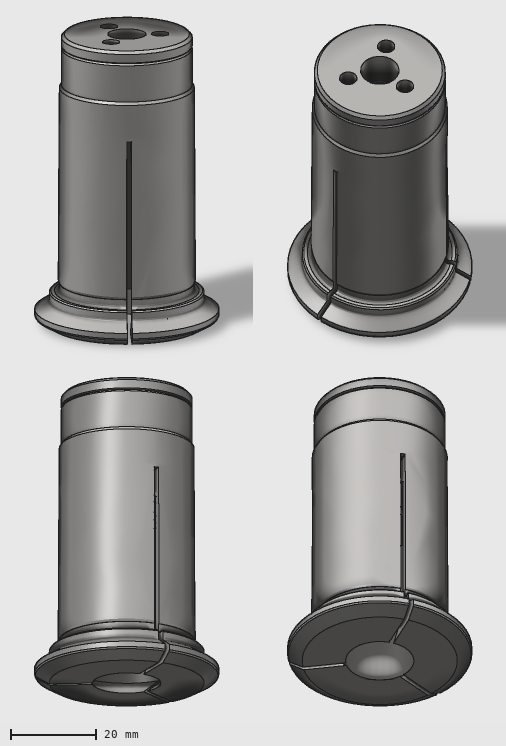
import cadquery as cq
import math

total_height = 70.0
rim_bottom_z = 1.8
rim_top_z = 3.7
collar_bottom_z = 5.6
collar_top_z = 8.0
relief_z = 10.15
body_top_z = 57.1
groove_bottom_z = 66.6
groove_root_z = 67.0
groove_top_z = 67.3

rim_radius = 43.0 / 2
bottom_face_radius = 18.05
collar_radius = 18.05
neck_radius = 15.75
body_bottom_radius = 32.0 / 2
body_top_radius = 31.5 / 2
head_radius = 30.5 / 2

rim_bevel = 0.2
rim_lower_bevel_height = 0.4
rim_upper_bevel_height = 0.15
collar_fillet = 0.6
collar_chamfer = 0.35
undercut_arc_radius = 0.8
undercut_width = 1.1
undercut_height = 0.7
relief_bevel = 0.15
relief_bevel_height = 0.55
shoulder_height = 0.7
groove_depth = 0.35
head_chamfer = 0.7

mouth_radius = 15.9 / 2
mouth_cone_height = 4.35
bore_radius = 28.5 / 2
bore_top_z = 41.65
roof_slope = math.radians(35)
end_hole_radius = 8.9 / 2
end_hole_depth = 8.4
lower_hole_radius = 8.4 / 2

pin_hole_count = 3
pin_hole_radius = 4.0 / 2
pin_circle_radius = 7.8
first_pin_angle = 30

slot_count = 3
slot_width = 1.1
slot_top_z = 48.3
first_slot_angle = 60

flank_outer_radius = rim_radius - rim_bevel
flank_slope = math.atan2(collar_bottom_z - rim_top_z, flank_outer_radius - collar_radius)
blend_length = collar_fillet * math.tan((math.pi / 2 - flank_slope) / 2)
blend_start = (
    collar_radius + blend_length * math.cos(flank_slope),
    collar_bottom_z - blend_length * math.sin(flank_slope),
)
blend_end = (collar_radius, collar_bottom_z + blend_length)


def revolve_about_axis(profile):
    return profile.close().revolve(360, (0, 0, 0), (0, 1, 0))


def outer_body():
    profile = (
        cq.Workplane("XZ")
        .lineTo(bottom_face_radius, 0)
        .lineTo(rim_radius - rim_bevel, rim_bottom_z)
        .lineTo(rim_radius, rim_bottom_z + rim_lower_bevel_height)
        .lineTo(rim_radius, rim_top_z - rim_upper_bevel_height)
        .lineTo(flank_outer_radius, rim_top_z)
        .lineTo(*blend_start)
        .radiusArc(blend_end, collar_fillet)
        .lineTo(collar_radius, collar_top_z - collar_chamfer)
        .lineTo(collar_radius - collar_chamfer, collar_top_z)
        .lineTo(neck_radius + undercut_width, collar_top_z)
        .radiusArc((neck_radius, collar_top_z + undercut_height), undercut_arc_radius)
        .lineTo(neck_radius, relief_z)
        .lineTo(body_bottom_radius - relief_bevel, relief_z)
        .lineTo(body_bottom_radius, relief_z + relief_bevel_height)
        .lineTo(body_top_radius, body_top_z)
        .lineTo(head_radius, body_top_z + shoulder_height)
        .lineTo(head_radius, groove_bottom_z)
        .lineTo(head_radius - groove_depth, groove_root_z)
        .lineTo(head_radius, groove_top_z)
        .lineTo(head_radius, total_height - head_chamfer)
        .lineTo(head_radius - head_chamfer, total_height)
        .lineTo(0, total_height)
    )
    return revolve_about_axis(profile)


def bore():
    roof_top_z = bore_top_z + (bore_radius - lower_hole_radius) * math.tan(roof_slope)
    end_hole_z = total_height - end_hole_depth
    step_height = end_hole_radius - lower_hole_radius
    profile = (
        cq.Workplane("XZ")
        .lineTo(mouth_radius, 0)
        .lineTo(bore_radius, mouth_cone_height)
        .lineTo(bore_radius, bore_top_z)
        .lineTo(lower_hole_radius, roof_top_z)
        .lineTo(lower_hole_radius, end_hole_z - step_height)
        .lineTo(end_hole_radius, end_hole_z)
        .lineTo(end_hole_radius, total_height)
        .lineTo(0, total_height)
    )
    return revolve_about_axis(profile)


def pin_holes():
    return (
        cq.Workplane("XY", origin=(0, 0, bore_top_z))
        .polarArray(pin_circle_radius, first_pin_angle, 360, pin_hole_count)
        .circle(pin_hole_radius)
        .extrude(total_height - bore_top_z)
    )


def slots():
    return (
        cq.Workplane("XY")
        .polarArray(rim_radius / 2, first_slot_angle, 360, slot_count)
        .rect(rim_radius + slot_width, slot_width)
        .extrude(slot_top_z)
    )


result = outer_body().cut(bore()).cut(pin_holes()).cut(slots())